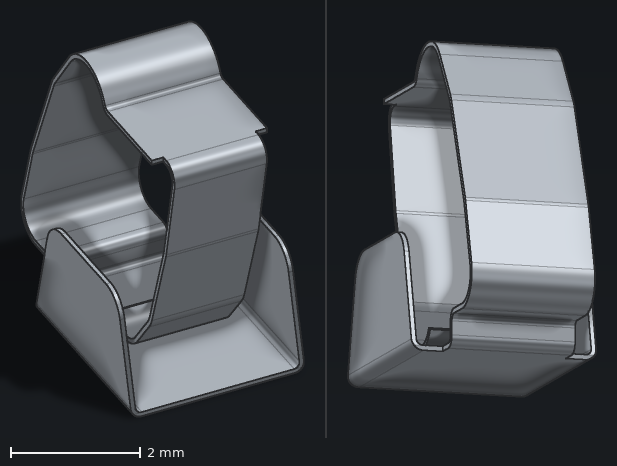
import cadquery as cq
import math

sheet = 0.08
forming_radius = 0.18
soft_radius = 0.5

base_left = 1.5
base_length = 3.3
base_width = 3.0
wall_height = 2.0
wall_slope = 14.4
wall_corner_radius = 0.5

strip_width = 2.0
tongue_width = 1.6
strip_foot_left = 1.025
shelf_height = 0.5
dome_radius = 0.725
valley_radius = 0.095
shoulder_radius = 0.3
step_setback = 0.095

riser_bend_radius = forming_radius - sheet
riser_bend_x = strip_foot_left + forming_radius
riser_run = shelf_height - forming_radius - riser_bend_radius
shelf_run = strip_foot_left - riser_bend_radius - soft_radius
roof_run = 1.615
front_bends = [
    (base_left - riser_bend_x, 90.0, forming_radius),
    (riser_run, -90.0, riser_bend_radius),
    (shelf_run, 106.6, soft_radius),
    (1.075, 6.5, soft_radius),
    (1.8, 13.5, soft_radius),
    (0.9, 120.1, dome_radius),
    (0.0, -66.7, valley_radius),
    (roof_run - step_setback, 0.0, 0.0),
]
tongue_bends = [
    (step_setback, 101.5, shoulder_radius),
    (1.42, 6.5, soft_radius),
    (1.55, 20.0, soft_radius + sheet),
    (0.68, 114.0, soft_radius),
]


def step(point, heading, distance):
    """Move from a point along a heading given in degrees."""
    angle = math.radians(heading)
    return (point[0] + distance * math.cos(angle), point[1] + distance * math.sin(angle))


def bent_strip(start, heading, bends, width):
    """Build a strip from its bends; return it with its end point and heading."""
    outer = start
    pieces = []

    def inner_point():
        return step(outer, heading - 90, sheet)

    for run, turn, radius in bends:
        if run > 0:
            before = (outer, inner_point())
            outer = step(outer, heading, run)
            pieces.append((before, None, (outer, inner_point())))
        if turn:
            before = (outer, inner_point())
            side = -math.copysign(90, turn)
            reach = math.copysign(radius, turn)
            centre = step(outer, heading + side, radius)
            half_way = heading - turn / 2 + 90
            middle = (step(centre, half_way, reach), step(centre, half_way, reach - sheet))
            heading -= turn
            outer = step(centre, heading + 90, reach)
            pieces.append((before, middle, (outer, inner_point())))

    profile = cq.Workplane("XZ").moveTo(*start)
    for _, middle, after in pieces:
        if middle:
            profile = profile.threePointArc(middle[0], after[0])
        else:
            profile = profile.lineTo(*after[0])
    profile = profile.lineTo(*inner_point())
    for before, middle, _ in reversed(pieces):
        if middle:
            profile = profile.threePointArc(middle[1], before[1])
        else:
            profile = profile.lineTo(*before[1])
    return profile.close().extrude(width / 2, both=True), outer, heading


def channel_base():
    """Floor and two upright walls, cut to a trapezoid with rounded top corners."""
    channel = (
        cq.Workplane("XY")
        .box(base_length, base_width, wall_height, centered=(False, True, False))
        .edges("|X and <Z")
        .fillet(forming_radius)
        .faces(">Z or <X or >X")
        .shell(-sheet)
        .translate((base_left, 0, 0))
    )
    base_right = base_left + base_length
    inset = (wall_height - sheet) * math.tan(math.radians(wall_slope))
    trapezoid = (
        cq.Workplane("XZ")
        .moveTo(base_left, 0)
        .lineTo(base_right, 0)
        .lineTo(base_right, sheet)
        .lineTo(base_right - inset, wall_height)
        .lineTo(base_left + inset, wall_height)
        .lineTo(base_left, sheet)
        .close()
        .extrude(base_width / 2, both=True)
        .edges("|Y and >Z")
        .fillet(wall_corner_radius)
    )
    return channel.intersect(trapezoid)


front_strip, step_point, step_heading = bent_strip((base_left, 0), 180, front_bends, strip_width)
tongue, _, _ = bent_strip(step_point, step_heading, tongue_bends, tongue_width)
result = channel_base().union(front_strip).union(tongue)